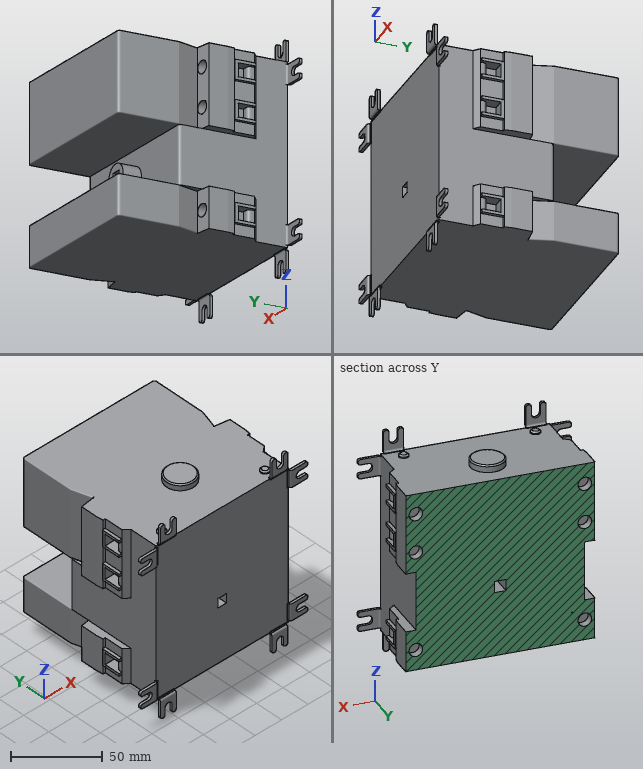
import cadquery as cq

foot_thickness = 1.8
front_y = foot_thickness
back_y = 108.5
body_half_width = 49.9
body_half_height = 54.1
corner_radius = 1.8
cover_edge_radius = 0.7

recess_back_y = 70.0
recess_height = 35.2
recess_z = -11.8
recess_top = recess_z + recess_height / 2
recess_bottom = recess_z - recess_height / 2

ledge_half_width = 55.8
ledge_back_y = 54.7
shoulder_half_width = 45.8
shoulder_y = 56.2
taper_start_y = 42.5
taper_half_width = 55.3
terminal_half_width = 53.7
terminal_back_y = 38.2
terminal_front_y = 25.0
ledge_front_y = 21.8

frame_height = 11.7
frame_overlap = 1.4
pocket_height = 8.1
pocket_back_y = 36.0
pocket_front_y = 28.9
pocket_depth = 5.3
pocket_lip_radius = 2.2
terminal_heights = (41.6, 18.2, -41.7)
screw_well_diameter = 7.7
screw_well_x = 49.9
screw_well_depth = 6.8

foot_width = 11.9
foot_slot_width = 5.3
foot_slot_depth = 8.7
foot_tip_radius = 1.5
foot_outer_bend = 1.4
foot_inner_bend = 1.1
foot_lip = 1.1
overall_half_width = 63.0
overall_half_height = 67.8
side_foot_z = 46.8
end_foot_x = 42.0
end_foot_stand_off = 0.4

shaft_hole_width = 6.5
hub_diameter = 16.0
hub_end_y = 81.6

button_diameter = 20.3
button_height = 4.3
button_y = 35.2
button_chamfer = 0.8
screw_diameter = 6.0
screw_height = 1.6
screw_chamfer = 1.0
screw_x = 38.9
screw_y = 8.8


def terminal_block(bottom, top):
    """Block with side ledges and a narrower, rounded cover at the back."""
    right_side = [
        (body_half_width, front_y),
        (body_half_width, ledge_front_y),
        (terminal_half_width, terminal_front_y),
        (terminal_half_width, terminal_back_y),
        (taper_half_width, terminal_back_y),
        (ledge_half_width, taper_start_y),
        (ledge_half_width, ledge_back_y),
        (shoulder_half_width, shoulder_y),
        (body_half_width, recess_back_y),
        (body_half_width, back_y),
    ]
    left_side = [(-x, y) for x, y in reversed(right_side)]
    block = (
        cq.Workplane("XY", origin=(0, 0, bottom))
        .polyline(right_side + left_side).close()
        .extrude(top - bottom)
        .edges("|Z and >Y").fillet(corner_radius)
    )
    margin = 1.4
    cover_region = cq.selectors.BoxSelector(
        (-ledge_half_width, shoulder_y + margin, bottom - margin),
        (ledge_half_width, back_y + margin, top + margin),
    )
    return block.faces("<Z or >Z").edges(cover_region).fillet(cover_edge_radius)


def middle_body():
    """Plain body between the blocks, ending at the recess."""
    depth = recess_back_y - front_y
    return (
        cq.Workplane("XY", origin=(0, front_y + depth / 2, recess_bottom))
        .rect(2 * body_half_width, depth)
        .extrude(recess_height)
        .edges("|Z and >Y").fillet(corner_radius)
    )


def terminal_frame(z):
    """Raised plate around one wire pocket on the +X side, sunk a little into the ledge."""
    inner_x = terminal_half_width - frame_overlap
    return (
        cq.Workplane("XY")
        .box(
            ledge_half_width - inner_x,
            terminal_back_y - terminal_front_y,
            frame_height,
            centered=(False, False, True),
        )
        .translate((inner_x, terminal_front_y, z))
    )


def wire_pocket(z):
    """Pocket on the +X side, with a rounded lip and open toward the front."""
    floor_x = terminal_half_width - pocket_depth
    lip_x = terminal_half_width - pocket_lip_radius
    lip_y = pocket_front_y - pocket_lip_radius
    return (
        cq.Workplane("XY", origin=(0, 0, z - pocket_height / 2))
        .moveTo(floor_x, pocket_front_y)
        .lineTo(lip_x, pocket_front_y)
        .radiusArc((terminal_half_width, lip_y), pocket_lip_radius)
        .lineTo(terminal_half_width, terminal_front_y)
        .lineTo(ledge_half_width, terminal_front_y)
        .lineTo(ledge_half_width, pocket_back_y)
        .lineTo(floor_x, pocket_back_y)
        .close()
        .extrude(pocket_height)
    )


def screw_well(z):
    """Blind round hole sunk toward the front from the +X shoulder."""
    return (
        cq.Workplane("XZ", origin=(screw_well_x, shoulder_y, z))
        .circle(screw_well_diameter / 2).extrude(screw_well_depth)
    )


def foot(wall, tip):
    """Slotted foot from a wall at X = wall out to X = tip, centred on Z = 0."""
    lip_x = wall - foot_lip
    inner_end_y = foot_thickness + foot_inner_bend
    plate = (
        cq.Workplane("XY", origin=(0, 0, -foot_width / 2))
        .moveTo(tip, 0)
        .lineTo(wall + foot_outer_bend, 0)
        .radiusArc((wall, foot_outer_bend), foot_outer_bend)
        .lineTo(lip_x, foot_outer_bend)
        .lineTo(lip_x, inner_end_y)
        .lineTo(wall, inner_end_y)
        .radiusArc((wall + foot_inner_bend, foot_thickness), -foot_inner_bend)
        .lineTo(tip, foot_thickness)
        .close()
        .extrude(foot_width)
    )
    slot_end = tip - foot_slot_depth
    slot_length = 2 * foot_slot_depth
    slot = (
        cq.Workplane("XZ", origin=(slot_end + slot_length / 2, 0, 0))
        .slot2D(slot_length, foot_slot_width)
        .extrude(-foot_thickness)
    )
    return plate.cut(slot).edges("|Y and >X").fillet(foot_tip_radius)


def knob(x, y, diameter, height, chamfer):
    """Round chamfered head standing on the top face."""
    return (
        cq.Workplane("XY", origin=(x, y, body_half_height))
        .circle(diameter / 2).extrude(height)
        .faces(">Z").edges().chamfer(chamfer)
    )


result = middle_body()
result = result.union(terminal_block(recess_top, body_half_height))
result = result.union(terminal_block(-body_half_height, recess_bottom))

for z in terminal_heights:
    frame = terminal_frame(z)
    pocket = wire_pocket(z)
    result = result.union(frame).union(frame.mirror("YZ"))
    result = result.cut(pocket).cut(pocket.mirror("YZ"))
    well = screw_well(z)
    result = result.cut(well).cut(well.mirror("YZ"))

hub = (
    cq.Workplane("XZ", origin=(0, recess_back_y, recess_z))
    .circle(hub_diameter / 2).extrude(recess_back_y - hub_end_y)
)
shaft_hole = (
    cq.Workplane("XZ", origin=(0, 0, recess_z))
    .rect(shaft_hole_width, shaft_hole_width).extrude(-back_y)
)
result = result.union(hub).cut(shaft_hole)

side_foot = foot(body_half_width, overall_half_width)
end_foot = foot(body_half_height + end_foot_stand_off, overall_half_height)
end_foot = end_foot.rotate((0, 0, 0), (0, 1, 0), -90)
for sign in (-1, 1):
    right_foot = side_foot.translate((0, 0, sign * side_foot_z))
    top_foot = end_foot.translate((sign * end_foot_x, 0, 0))
    result = result.union(right_foot).union(right_foot.mirror("YZ"))
    result = result.union(top_foot).union(top_foot.mirror("XY"))

result = result.union(knob(0, button_y, button_diameter, button_height, button_chamfer))
for x in (-screw_x, screw_x):
    result = result.union(knob(x, screw_y, screw_diameter, screw_height, screw_chamfer))